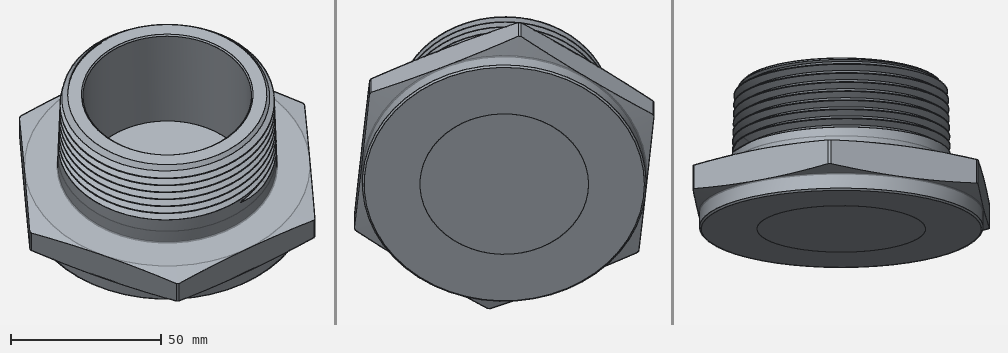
import cadquery as cq
import math

total_height = 49.78
flange_height = 5.75
hex_thickness = 10.75
hex_top = flange_height + hex_thickness
neck_height = 5.3
thread_base = hex_top + neck_height

hex_across_flats = 95.25
hex_corner_diameter = 109.48
hex_bevel_angle = 10.0
hex_rim_radius = 47.58

root_fillet = 0.25

flange_radius = 47.3
flange_chamfer = 0.6

thread_radius = 73.03 / 2
thread_pitch = 25.4 / 8
thread_depth = 0.8 * thread_pitch
thread_half_angle = 30.0
thread_taper = 1 / 32
thread_start_height = 25.8
groove_overshoot = 0.3
tip_radius = 33.2
tip_chamfer_angle = 45.0

bore_radius = 28.1
bore_chamfer = 0.5
window_thickness = 9.5


def thread_crest_radius(height):
    """Radius of the tapered crest cone at a height above the underside."""
    return thread_radius - thread_taper * (height - thread_base)


def revolve_profile(points):
    """Solid of revolution around Z from (radius, height) points."""
    outline = [(-radius, height) for radius, height in points]
    return cq.Workplane("XZ").polyline(outline).close().revolve(360, (0, 0), (0, 1))


def turned_cylinder(radius, base, top):
    """Plain cylinder around Z between two heights."""
    return revolve_profile([(0, base), (radius, base), (radius, top), (0, top)])


def circle_at(radius, height, margin=0.05):
    """Selector for the full circle around Z with a given radius and height."""
    return cq.selectors.BoxSelector(
        (-radius - margin, -radius - margin, height - margin),
        (radius + margin, radius + margin, height + margin),
        boundingbox=True,
    ) - cq.selectors.BoxSelector(
        (-radius + margin, -radius + margin, height - margin),
        (radius - margin, radius - margin, height + margin),
        boundingbox=True,
    )


def make_flange():
    flange = turned_cylinder(flange_radius, 0, flange_height)
    return flange.faces("<Z").chamfer(flange_chamfer)


def make_hexagon():
    across_corners = hex_across_flats / math.cos(math.radians(30))
    prism = (
        cq.Workplane("XY", origin=(0, 0, flange_height))
        .polygon(6, across_corners)
        .extrude(hex_thickness)
    )
    corner_radius = hex_corner_diameter / 2
    bevel_drop = (corner_radius - hex_rim_radius) * math.tan(math.radians(hex_bevel_angle))
    turned_blank = revolve_profile([
        (0, flange_height),
        (hex_rim_radius, flange_height),
        (corner_radius, flange_height + bevel_drop),
        (corner_radius, hex_top - bevel_drop),
        (hex_rim_radius, hex_top),
        (0, hex_top),
    ])
    return prism.intersect(turned_blank)


def make_neck():
    """Straight cylinder between the hexagon and the thread."""
    return turned_cylinder(thread_radius, hex_top, thread_base)


def make_crest_cone():
    """Plain taper through the thread crests, before the groove is cut."""
    return revolve_profile([
        (0, thread_base),
        (thread_radius, thread_base),
        (thread_crest_radius(total_height), total_height),
        (0, total_height),
    ])


def make_tip_envelope():
    """Cylinder over the thread with the lead-in chamfer at its top."""
    chamfer_width = thread_radius - tip_radius
    chamfer_height = chamfer_width * math.tan(math.radians(tip_chamfer_angle))
    return revolve_profile([
        (0, thread_base),
        (thread_radius, thread_base),
        (thread_radius, total_height - chamfer_height),
        (tip_radius, total_height),
        (0, total_height),
    ])


def groove_section():
    """V-shaped groove outline at the +X start of the thread, carried straight out past the crests."""
    half_width = thread_depth * math.tan(math.radians(thread_half_angle))
    crest_radius = thread_crest_radius(thread_start_height)
    outer_radius = crest_radius + groove_overshoot
    return (
        cq.Workplane("XZ", origin=(0, 0, thread_start_height))
        .polyline([
            (crest_radius - thread_depth, 0),
            (crest_radius, half_width),
            (outer_radius, half_width),
            (outer_radius, -half_width),
            (crest_radius, -half_width),
        ])
        .close()
    )


def make_thread_groove():
    """Groove cutter along the tapered helix, running out past the tip."""
    helix = cq.Wire.makeHelix(
        thread_pitch,
        total_height + thread_pitch - thread_start_height,
        thread_crest_radius(thread_start_height) - thread_depth,
        center=cq.Vector(0, 0, thread_start_height),
        angle=-math.degrees(math.atan(thread_taper)),
    )
    return groove_section().sweep(cq.Workplane(helix), isFrenet=True)


def make_groove_runout():
    """Straight cutter that leaves the start of the groove along -Y, until it clears the thread."""
    return groove_section().extrude(thread_radius)


def make_bore():
    """Through bore, widened by a chamfer at the threaded tip."""
    return revolve_profile([
        (0, 0),
        (bore_radius, 0),
        (bore_radius, total_height - bore_chamfer),
        (bore_radius + bore_chamfer, total_height),
        (0, total_height),
    ])


def make_housing():
    grooved_cone = make_crest_cone().cut(make_thread_groove()).cut(make_groove_runout())
    thread = grooved_cone.intersect(make_tip_envelope())
    base = make_flange().union(make_hexagon()).union(make_neck())
    base = base.edges(circle_at(flange_radius, flange_height)).fillet(root_fillet)
    base = base.edges(circle_at(thread_radius, hex_top)).fillet(root_fillet)
    return base.union(thread).cut(make_bore())


def make_window():
    """Disc filling the lower end of the bore, flush with the underside."""
    return turned_cylinder(bore_radius, 0, window_thickness)


housing = make_housing()
window = make_window()
result = cq.Compound.makeCompound([housing.solids().val(), window.val()])